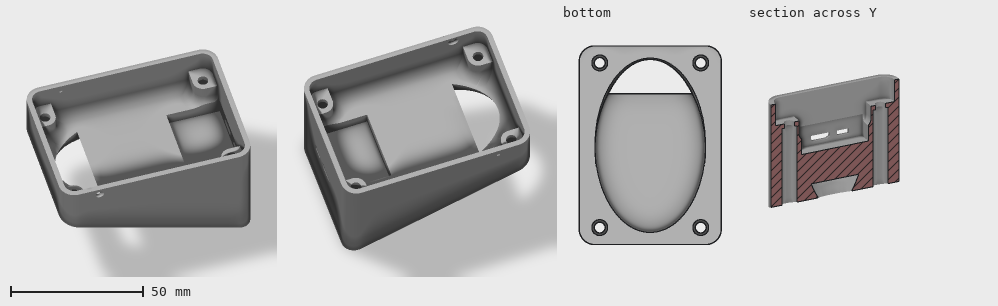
import cadquery as cq
import math

WIDTH = 53.72
LENGTH = 75.05
HEIGHT = 45.13
SIDE_WALL = 2.0
END_WALL = 2.05
CORNER_RADIUS = 6.0
TILT = 20.0
SLOPE = math.tan(math.radians(TILT))

FLOOR_DEPTH = 18.0
FLOOR_FILLET = 4.0

HOLE_X = 19.05
HOLE_Y = 31.05
POST_RADIUS = 4.0
POST_TOP_DEPTH = 9.0
SCREW_DIAMETER = 4.0
HEAD_DIAMETER = 6.0
HEAD_SEAT = 2.0

OVAL_WIDTH = 41.8
OVAL_LENGTH = 70.0
OVAL_DEPTH = 6.0

BOARD_WIDTH = 27.74
BOARD_FRONT_Y = 15.1
BOARD_BACK_Y = 36.15
BOARD_FLOOR_DEPTH = 23.2
BOARD_TOP_DEPTH = 14.0

OPENING_TOP_DEPTH = 19.1
SWITCH_X = 5.95
SWITCH_WIDTH = 5.1
SWITCH_HEIGHT = 2.2
SOCKET_X = -3.55
SOCKET_WIDTH = 8.0
SOCKET_HEIGHT = 2.5
SOCKET_SLANT_WIDTH = 1.25
SOCKET_SLANT_HEIGHT = 0.8
SOCKET_RADIUS = 0.5

CROSS_Y = -23.17
CROSS_DEPTH = 2.9
PIN_DIAMETER = 1.4
CROSS_DIAMETER = 3.3
CROSS_SEAT_DIAMETER = 4.2
CROSS_SEAT_DEPTH = 1.2

SIDES = (-1, 1)


def box(x_min, x_max, y_min, y_max, z_min, z_max):
    size = (x_max - x_min, y_max - y_min, z_max - z_min)
    return cq.Workplane("XY").box(*size, centered=False).translate((x_min, y_min, z_min))


def rounded_block(width, length, depth, radius):
    """Block hanging down from Z = 0 with rounded upright edges."""
    return cq.Workplane("XY").rect(width, length).extrude(-depth).edges("|Z").fillet(radius)


def wedge_body():
    back = LENGTH / 2
    front_height = HEIGHT - LENGTH * SLOPE
    side = [(-back, 0), (back, 0), (back, -HEIGHT), (-back, -front_height)]
    wedge = cq.Workplane("YZ").polyline(side).close().extrude(WIDTH / 2, both=True)
    return wedge.intersect(rounded_block(WIDTH, LENGTH, HEIGHT, CORNER_RADIUS))


def post(side_x, side_y):
    """Block filling one cavity corner, rounded about its screw hole."""
    inner_x = HOLE_X - POST_RADIUS
    inner_y = HOLE_Y - POST_RADIUS
    block = box(inner_x, WIDTH / 2, inner_y, LENGTH / 2, -FLOOR_DEPTH, -POST_TOP_DEPTH)
    block = block.edges("|Z and <X and <Y").fillet(POST_RADIUS)
    if side_x < 0:
        block = block.mirror("YZ")
    if side_y < 0:
        block = block.mirror("XZ")
    return block


def cavity():
    space = rounded_block(
        WIDTH - 2 * SIDE_WALL, LENGTH - 2 * END_WALL, FLOOR_DEPTH, CORNER_RADIUS - SIDE_WALL
    )
    for side_x in SIDES:
        for side_y in SIDES:
            space = space.cut(post(side_x, side_y))
    return space.faces("<Z").edges().fillet(FLOOR_FILLET)


def post_gusset(side_x):
    """Extra fillet along the inner flank of a front post, mitred where it runs out on the floor."""
    x_post = HOLE_X - POST_RADIUS
    x_toe = x_post - FLOOR_FILLET
    y_wall = -LENGTH / 2 + END_WALL
    y_toe = y_wall + 2 * FLOOR_FILLET
    z_crest = FLOOR_FILLET - FLOOR_DEPTH
    block = box(x_toe, x_post, y_wall, y_toe, -FLOOR_DEPTH, z_crest)
    flank = cq.Workplane("XZ", origin=(x_toe, y_wall, z_crest)).circle(FLOOR_FILLET)
    run_out = cq.Workplane("YZ", origin=(x_toe, y_toe, z_crest)).circle(FLOOR_FILLET)
    block = block.cut(flank.extrude(-2 * FLOOR_FILLET)).cut(run_out.extrude(FLOOR_FILLET))
    return block if side_x > 0 else block.mirror("YZ")


def screw_holes():
    centres = [(x * HOLE_X, y * HOLE_Y) for x in SIDES for y in SIDES]
    shafts = cq.Workplane("XY").pushPoints(centres).circle(SCREW_DIAMETER / 2).extrude(-HEIGHT)
    seat = cq.Workplane("XY", origin=(0, 0, -POST_TOP_DEPTH - HEAD_SEAT))
    heads = seat.pushPoints(centres).circle(HEAD_DIAMETER / 2).extrude(-HEIGHT)
    return shafts.union(heads)


def oval_pocket():
    middle_height = HEIGHT - LENGTH / 2 * SLOPE
    underside = cq.Plane(
        origin=(0, 0, -middle_height),
        xDir=(1, 0, 0),
        normal=(0, SLOPE, 1),
    )
    oval = cq.Workplane(underside).ellipse(OVAL_WIDTH / 2, OVAL_LENGTH / 2)
    return oval.extrude(OVAL_DEPTH)


def board_recess():
    return box(
        -BOARD_WIDTH / 2, BOARD_WIDTH / 2, BOARD_FRONT_Y, BOARD_BACK_Y,
        -BOARD_FLOOR_DEPTH, -BOARD_TOP_DEPTH,
    )


def switch_opening():
    return box(
        SWITCH_X - SWITCH_WIDTH / 2, SWITCH_X + SWITCH_WIDTH / 2, LENGTH / 2 - END_WALL, LENGTH / 2,
        -OPENING_TOP_DEPTH - SWITCH_HEIGHT, -OPENING_TOP_DEPTH,
    )


def socket_opening():
    """Opening with slanted lower corners, rounded where each slant meets an upright side."""
    half_top = SOCKET_WIDTH / 2
    half_bottom = half_top - SOCKET_SLANT_WIDTH
    z_slant = SOCKET_SLANT_HEIGHT - SOCKET_HEIGHT
    outline = [
        (-half_top, 0),
        (half_top, 0),
        (half_top, z_slant),
        (half_bottom, -SOCKET_HEIGHT),
        (-half_bottom, -SOCKET_HEIGHT),
        (-half_top, z_slant),
    ]
    opening = cq.Workplane("XZ").polyline(outline).close().extrude(-END_WALL)
    for side in SIDES:
        bend = cq.selectors.NearestToPointSelector((side * half_top, END_WALL / 2, z_slant))
        opening = opening.edges("|Y").edges(bend).fillet(SOCKET_RADIUS)
    return opening.translate((SOCKET_X, LENGTH / 2 - END_WALL, -OPENING_TOP_DEPTH))


def cross_hole(x_start, length, diameter):
    axis = cq.Workplane("YZ", origin=(x_start, CROSS_Y, -CROSS_DEPTH))
    return axis.circle(diameter / 2).extrude(length)


def side_holes():
    pin = cross_hole(-WIDTH / 2, SIDE_WALL, PIN_DIAMETER)
    through = cross_hole(WIDTH / 2 - SIDE_WALL, SIDE_WALL, CROSS_DIAMETER)
    seat = cross_hole(WIDTH / 2 - SIDE_WALL, CROSS_SEAT_DEPTH, CROSS_SEAT_DIAMETER)
    return pin.union(through).union(seat)


result = wedge_body().cut(cavity())
for side in SIDES:
    result = result.union(post_gusset(side))
cutters = [
    screw_holes(),
    oval_pocket(),
    board_recess(),
    switch_opening(),
    socket_opening(),
    side_holes(),
]
for cutter in cutters:
    result = result.cut(cutter)